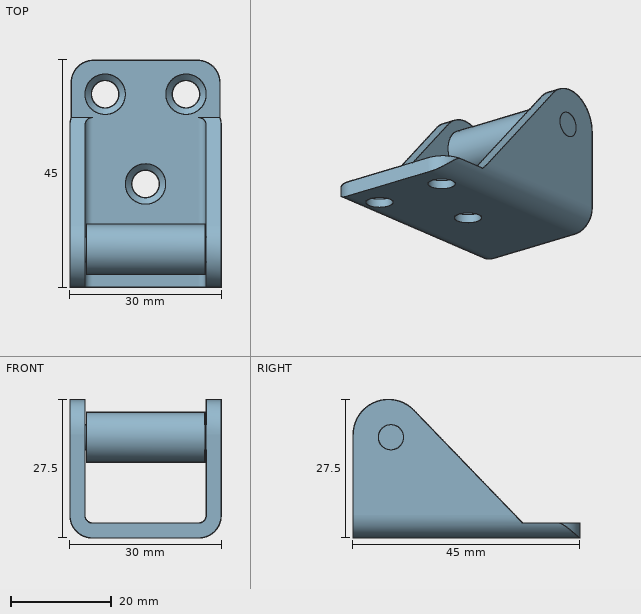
import cadquery as cq
import math

WIDTH = 30.0
LENGTH = 45.0
HEIGHT = 27.5
WALL = 3.0
INNER_BEND_RADIUS = 1.5
OUTER_BEND_RADIUS = INNER_BEND_RADIUS + WALL
INNER_WIDTH = WIDTH - 2 * WALL

BEND_INSET = OUTER_BEND_RADIUS - math.sqrt(OUTER_BEND_RADIUS**2 - (OUTER_BEND_RADIUS - WALL) ** 2)
PLATE_WIDTH = WIDTH - 2 * BEND_INSET
PLATE_CORNER_RADIUS = 4.5

EAR_RADIUS = 7.0
EAR_CENTRE_Y = EAR_RADIUS
EAR_CENTRE_Z = HEIGHT - EAR_RADIUS
SLOPE_FOOT_Y = 33.6

HOLE_DIAMETER = 5.4
COUNTERSINK_DIAMETER = 8.0
COUNTERSINK_ANGLE = 90.0
REAR_HOLE_SPACING = 16.0
REAR_HOLE_Y = 38.25
FRONT_HOLE_Y = 20.48
HOLE_CENTRES = [
    (-REAR_HOLE_SPACING / 2, REAR_HOLE_Y),
    (REAR_HOLE_SPACING / 2, REAR_HOLE_Y),
    (0, FRONT_HOLE_Y),
]

PIN_Y = 7.5
PIN_Z = 20.0
JOURNAL_DIAMETER = 5.0
BARREL_DIAMETER = 10.0
BARREL_END_GAP = 0.25
BARREL_LENGTH = INNER_WIDTH - 2 * BARREL_END_GAP


def x_cylinder(diameter, length):
    """Cylinder on the pin axis, centred on X = 0."""
    return (
        cq.Workplane("YZ", origin=(-length / 2, PIN_Y, PIN_Z))
        .circle(diameter / 2)
        .extrude(length)
    )


def make_channel():
    """Bent U channel running the full length along Y."""
    outer = (
        cq.Workplane("XY")
        .box(WIDTH, LENGTH, HEIGHT, centered=(True, False, False))
        .edges("|Y and <Z")
        .fillet(OUTER_BEND_RADIUS)
    )
    inner = (
        cq.Workplane("XY", origin=(0, 0, WALL))
        .box(INNER_WIDTH, LENGTH, HEIGHT, centered=(True, False, False))
        .edges("|Y and <Z")
        .fillet(INNER_BEND_RADIUS)
    )
    return outer.cut(inner)


def make_side_outline():
    """Solid as wide as the channel, bounding the ears and the base plate from the side."""
    foot_to_centre_y = SLOPE_FOOT_Y - EAR_CENTRE_Y
    foot_to_centre_z = EAR_CENTRE_Z - WALL
    foot_to_centre = math.hypot(foot_to_centre_y, foot_to_centre_z)

    centre_line_angle = math.atan2(foot_to_centre_z, foot_to_centre_y)
    slope_angle = centre_line_angle + math.asin(EAR_RADIUS / foot_to_centre)
    tangent_point = (
        EAR_CENTRE_Y + EAR_RADIUS * math.sin(slope_angle),
        EAR_CENTRE_Z + EAR_RADIUS * math.cos(slope_angle),
    )
    return (
        cq.Workplane("YZ", origin=(-WIDTH / 2, 0, 0))
        .moveTo(0, 0)
        .lineTo(LENGTH, 0)
        .lineTo(LENGTH, WALL)
        .lineTo(SLOPE_FOOT_Y, WALL)
        .lineTo(*tangent_point)
        .threePointArc((EAR_CENTRE_Y, HEIGHT), (0, EAR_CENTRE_Z))
        .close()
        .extrude(WIDTH)
    )


def make_plan_outline():
    """Block bounding the bracket from above, with the rear corners of the base plate rounded."""
    ears = cq.Workplane("XY").box(WIDTH, SLOPE_FOOT_Y, HEIGHT, centered=(True, False, False))
    plate = (
        cq.Workplane("XY")
        .box(PLATE_WIDTH, LENGTH, WALL, centered=(True, False, False))
        .edges("|Z and >Y")
        .fillet(PLATE_CORNER_RADIUS)
    )
    return ears.union(plate)


def make_bracket():
    """Channel trimmed to its outlines, with screw holes and pin bores."""
    bracket = make_channel().intersect(make_side_outline()).intersect(make_plan_outline())
    bracket = (
        bracket.copyWorkplane(cq.Workplane("XY", origin=(0, 0, WALL)))
        .pushPoints(HOLE_CENTRES)
        .cskHole(HOLE_DIAMETER, COUNTERSINK_DIAMETER, COUNTERSINK_ANGLE, depth=WALL)
    )
    return bracket.cut(x_cylinder(JOURNAL_DIAMETER, WIDTH))


def make_roller_pin():
    """Stepped pin whose journals end flush with the outer wall faces."""
    journals = x_cylinder(JOURNAL_DIAMETER, WIDTH)
    barrel = x_cylinder(BARREL_DIAMETER, BARREL_LENGTH)
    return journals.union(barrel)


bracket = make_bracket()
roller_pin = make_roller_pin()

result = cq.Compound.makeCompound([bracket.solids().val(), roller_pin.solids().val()])